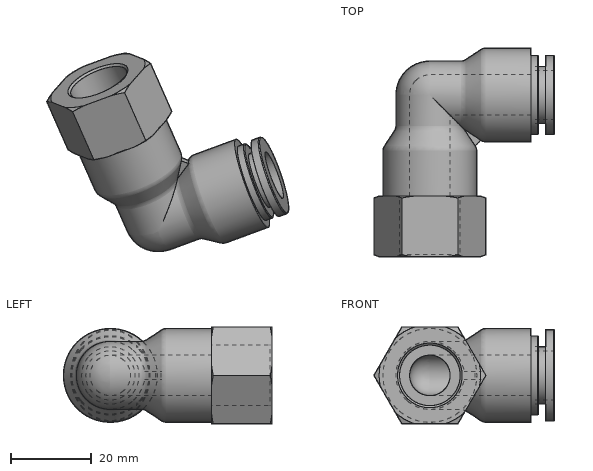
import cadquery as cq
import math

ARM_LENGTH = 25.0
TUBE_DIAMETER = 16.8
BARREL_DIAMETER = 23.2
BORE_DIAMETER = 10.0
CONE_START = 8.3
CONE_END = 13.15
CONE_BLEND_RADIUS = 2.0
WEB_THICKNESS = 2.0
WEB_REACH = 23.8
WEB_CORNER = 12.7
WEB_ROOT = 7.2

NUT_LENGTH = 15.0
NUT_ACROSS_FLATS = 24.0
NUT_ACROSS_CORNERS = NUT_ACROSS_FLATS / math.cos(math.radians(30))
NUT_FACE_DIAMETER = 25.1
NUT_CHAMFER_ANGLE = 20.0
NUT_HOLE_DIAMETER = 14.95
NUT_HOLE_CHAMFER = 0.5

COLLAR_DIAMETER = 19.6
COLLAR_LENGTH = 1.9
COLLAR_CHAMFER = 0.25

SLEEVE_DIAMETER = 14.2
SLEEVE_BORE_DIAMETER = 12.2
FLANGE_START = 28.65
FLANGE_END = 30.85
FLANGE_WIDTH = 19.6
FLANGE_HEIGHT = 22.65
FLANGE_CHAMFER_LENGTH = 0.3
FLANGE_CHAMFER_DEPTH = 0.15


def along_x(start):
    """Workplane facing +X at the given X; its local axes are Y and Z."""
    return cq.Workplane("YZ", origin=(start, 0, 0))


def along_minus_y(start):
    """Workplane facing -Y at the given distance from the elbow centre."""
    return cq.Workplane("XZ", origin=(0, -start, 0))


def make_arm():
    """Solid arm along +X: tube, blended cone and barrel."""
    tube_radius = TUBE_DIAMETER / 2
    barrel_radius = BARREL_DIAMETER / 2
    arm = (
        cq.Workplane("XY")
        .moveTo(0, 0)
        .lineTo(0, tube_radius)
        .lineTo(CONE_START, tube_radius)
        .lineTo(CONE_END, barrel_radius)
        .lineTo(ARM_LENGTH, barrel_radius)
        .lineTo(ARM_LENGTH, 0)
        .close()
        .revolve(360, (0, 0, 0), (1, 0, 0))
    )
    return arm.faces("%CONE").edges("%CIRCLE").fillet(CONE_BLEND_RADIUS)


def make_web():
    """Thin flat web filling the inner corner between the two cones."""
    side = WEB_REACH - WEB_CORNER
    return (
        cq.Workplane("XY", origin=(0, 0, -WEB_THICKNESS / 2))
        .polyline([(WEB_ROOT, -WEB_ROOT), (side, -WEB_CORNER), (WEB_CORNER, -side)])
        .close()
        .extrude(WEB_THICKNESS)
    )


def make_elbow():
    """Two arms with a ball corner, a web and an angled through bore."""
    arm_x = make_arm()
    arm_y = make_arm().rotate((0, 0, 0), (0, 0, 1), -90)
    ball = cq.Workplane("XY").sphere(TUBE_DIAMETER / 2)
    bore_radius = BORE_DIAMETER / 2
    bore = (
        cq.Workplane("XY").sphere(bore_radius)
        .union(along_x(0).circle(bore_radius).extrude(ARM_LENGTH))
        .union(along_minus_y(0).circle(bore_radius).extrude(ARM_LENGTH))
    )
    return arm_x.union(arm_y).union(ball).union(make_web()).cut(bore)


def make_nut():
    """Hexagonal nut with chamfered corners and a chamfered through hole."""
    corner_radius = NUT_ACROSS_CORNERS / 2
    face_radius = NUT_FACE_DIAMETER / 2
    corner_drop = (corner_radius - face_radius) * math.tan(math.radians(NUT_CHAMFER_ANGLE))
    inner_end = -ARM_LENGTH
    outer_end = -ARM_LENGTH - NUT_LENGTH
    chamfer_envelope = (
        cq.Workplane("XY")
        .polyline([
            (0, inner_end),
            (face_radius, inner_end),
            (corner_radius, inner_end - corner_drop),
            (corner_radius, outer_end + corner_drop),
            (face_radius, outer_end),
            (0, outer_end),
        ])
        .close()
        .revolve(360, (0, 0, 0), (0, 1, 0))
    )
    hexagon = along_minus_y(ARM_LENGTH).polygon(6, NUT_ACROSS_CORNERS).extrude(NUT_LENGTH)
    hole = along_minus_y(ARM_LENGTH).circle(NUT_HOLE_DIAMETER / 2).extrude(NUT_LENGTH)
    nut = hexagon.intersect(chamfer_envelope).cut(hole)
    hole_rim = cq.selectors.RadiusNthSelector(0)
    return nut.faces("<Y").edges("%CIRCLE").edges(hole_rim).chamfer(NUT_HOLE_CHAMFER)


def make_collar():
    """Plain ring seated on the end of the barrel."""
    disc = along_x(ARM_LENGTH).circle(COLLAR_DIAMETER / 2).extrude(COLLAR_LENGTH)
    hole = along_x(ARM_LENGTH).circle(SLEEVE_DIAMETER / 2).extrude(COLLAR_LENGTH)
    return disc.faces(">X").edges().chamfer(COLLAR_CHAMFER).cut(hole)


def make_sleeve():
    """Tube through the collar with an oval push flange at its outer end."""
    tube = along_x(ARM_LENGTH).circle(SLEEVE_DIAMETER / 2).extrude(FLANGE_END - ARM_LENGTH)
    flange = (
        along_x(FLANGE_START)
        .ellipse(FLANGE_WIDTH / 2, FLANGE_HEIGHT / 2)
        .extrude(FLANGE_END - FLANGE_START)
        .faces(">X").edges().chamfer(FLANGE_CHAMFER_LENGTH, FLANGE_CHAMFER_DEPTH)
    )
    bore = along_x(ARM_LENGTH).circle(SLEEVE_BORE_DIAMETER / 2).extrude(FLANGE_END - ARM_LENGTH)
    return tube.union(flange).cut(bore)


elbow = make_elbow()
nut = make_nut()
collar = make_collar()
sleeve = make_sleeve()

result = cq.Compound.makeCompound([elbow.val(), nut.val(), collar.val(), sleeve.val()])